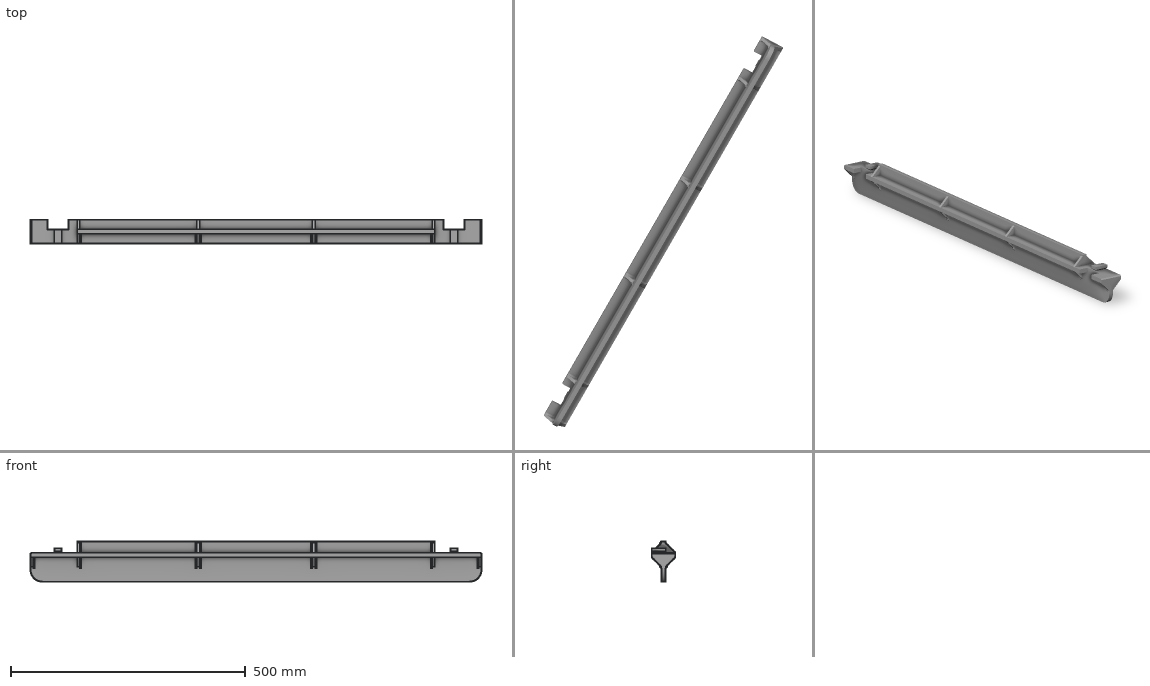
import cadquery as cq
length = 960.44
width = 50.8
height = 85.72
plate = 9.525
rib_plate = 6.35
weld_leg = 3.175
lower_depth = 52.4
ridge_length = 762.0
corner_radius = 25.4
end_bevel = 2.4
inner_rib_offset = 123.0
notch_start = 36.5
notch_length = 44.5
lug_start = 50.8
lug_length = 15.9
lug_bevel = 3.175

flange_bottom = lower_depth
flange_top = flange_bottom + plate
half_length = length / 2
half_width = width / 2
half_web = plate / 2
half_rib = rib_plate / 2
rib_reach = half_width - half_web
rib_height = height - flange_top
ridge_end_rib_offset = ridge_length / 2 - half_rib
bar_end_rib_offset = half_length - half_rib


def block(size_x, size_y, size_z, x, y, bottom):
    """Box centred on (x, y) standing on the given level."""
    box = cq.Workplane("XY").box(size_x, size_y, size_z, centered=(True, True, False))
    return box.translate((x, y, bottom))


def lower_web():
    web = block(length, plate, lower_depth, 0, 0, 0)
    return web.faces("<Z").edges("|Y").fillet(corner_radius)


def ridge():
    return block(ridge_length, plate, rib_height, 0, 0, flange_top)


def flange():
    plain = block(length, width, plate, 0, 0, flange_bottom)
    return plain.faces(">Z").edges("|Y").chamfer(end_bevel)


def corner_prism(y_side, z_side, level, rise, half_thickness):
    """Triangle from the flange edge to a given rise on one web face, centred on x = 0."""
    outline = [
        (y_side * half_web, level),
        (y_side * half_width, level),
        (y_side * half_web, level + z_side * rise),
    ]
    return cq.Workplane("YZ").polyline(outline).close().extrude(half_thickness, both=True)


def weld(x_side, y_side, z_side, level):
    """Triangular weld along the flange and the web on one face of a gusset."""
    rib_face = x_side * half_rib
    toe = x_side * (half_rib + weld_leg)
    flange_bead = (
        cq.Workplane("XZ")
        .polyline([(rib_face, level), (toe, level), (rib_face, level + z_side * weld_leg)])
        .close()
        .extrude(half_width, both=True)
    )
    web_toe = y_side * (half_web + weld_leg)
    web_bead = (
        cq.Workplane("XY", origin=(0, 0, level))
        .polyline([(rib_face, y_side * half_web), (toe, y_side * half_web), (rib_face, web_toe)])
        .close()
        .extrude(z_side * rib_height)
    )
    envelope = corner_prism(y_side, z_side, level, rib_height, half_rib + weld_leg)
    return flange_bead.union(web_bead).intersect(envelope)


def gusset(x, y_side, z_side, weld_sides):
    """Gusset above (z_side 1) or below (z_side -1) the flange, with its welds."""
    level = flange_top if z_side > 0 else flange_bottom
    solid = corner_prism(y_side, z_side, level, rib_reach, half_rib)
    for x_side in weld_sides:
        solid = solid.union(weld(x_side, y_side, z_side, level))
    return solid.translate((x, 0, 0))


def lug(end):
    """Locating lug from the far web face to the -Y flange edge."""
    lug_width = half_width + half_web
    x = end * (half_length - lug_start - lug_length / 2)
    plain = block(lug_length, lug_width, plate, x, half_web - lug_width / 2, flange_top)
    return plain.faces("<Z").edges().chamfer(lug_bevel)


def notch(end):
    """Cutter removing the +Y flange up to the web face."""
    x = end * (half_length - notch_start - notch_length / 2)
    return block(notch_length, rib_reach, plate, x, half_web + rib_reach / 2, flange_bottom)


result = lower_web().union(flange()).union(ridge())

for end in (-1, 1):
    both_faces = (-1, 1)
    inner_face = (-end,)
    for y_side in (-1, 1):
        upper_both = both_faces if y_side < 0 else ()
        upper_inner = inner_face if y_side < 0 else ()
        result = result.union(gusset(end * inner_rib_offset, y_side, 1, upper_both))
        result = result.union(gusset(end * ridge_end_rib_offset, y_side, 1, upper_inner))
        result = result.union(gusset(end * inner_rib_offset, y_side, -1, both_faces))
        result = result.union(gusset(end * ridge_end_rib_offset, y_side, -1, inner_face))
        result = result.union(gusset(end * bar_end_rib_offset, y_side, -1, inner_face))
    result = result.union(lug(end)).cut(notch(end))